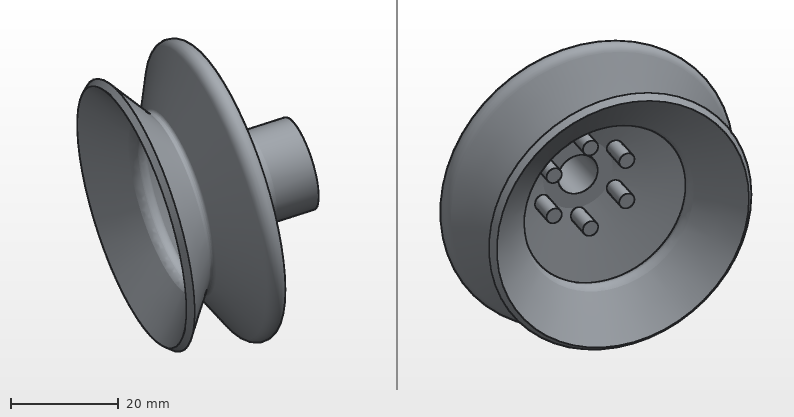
import cadquery as cq
import math

height = 34.0
wall = 1.4

lip_inner_radius = 25.5
lip_outer_radius = 26.55
lip_outer_y = 1.25

waist_radius = 17.95
waist_low_y = 8.0
waist_high_y = 9.0
waist_round = 0.6
waist_bore_radius = waist_radius - wall
waist_bore_low_y = 7.45
waist_bore_high_y = 9.8
waist_bore_round = waist_round + wall

fold_radius = 29.5
fold_y = 16.9
fold_round = 2.25
fold_inner_round = fold_round - wall
fold_center = (fold_radius - fold_round, fold_y)

neck_radius = 9.0
neck_round = 2.25
shoulder_y = 23.7
bore_radius = 4.0
seat_radius = 7.0
seat_y = 21.2

pin_count = 6
pin_radius = 1.55
pin_circle_radius = 8.5
pin_end_y = 15.2
pin_root_y = seat_y + 0.6


def tangent_point(round_radius, point, side):
    """Point where the line from `point` touches a circle around the fold centre; side is +1 or -1."""
    dr = point[0] - fold_center[0]
    dy = point[1] - fold_center[1]
    angle = math.atan2(dy, dr) + side * math.acos(round_radius / math.hypot(dr, dy))
    return (
        fold_center[0] + round_radius * math.cos(angle),
        fold_center[1] + round_radius * math.sin(angle),
    )


def round_ring(body, y, radius):
    """Fillet the circular edges that lie at height y."""
    reach = 0.03
    at_height = cq.selectors.BoxSelector((-reach, y - reach, -reach), (reach, y + reach, reach))
    return body.edges(at_height).fillet(radius)


def make_cup():
    waist_top = (waist_radius, waist_high_y)
    shoulder = (neck_radius, shoulder_y)
    seat_edge = (seat_radius, seat_y)
    waist_bore_top = (waist_bore_radius, waist_bore_high_y)

    profile = (
        cq.Workplane("XY")
        .moveTo(lip_inner_radius, 0)
        .lineTo(lip_outer_radius, lip_outer_y)
        .lineTo(waist_radius, waist_low_y)
        .lineTo(*waist_top)
        .lineTo(*tangent_point(fold_round, waist_top, 1))
        .threePointArc((fold_radius, fold_y), tangent_point(fold_round, shoulder, -1))
        .lineTo(*shoulder)
        .lineTo(neck_radius, height)
        .lineTo(bore_radius, height)
        .lineTo(bore_radius, seat_y)
        .lineTo(*seat_edge)
        .lineTo(*tangent_point(fold_inner_round, seat_edge, -1))
        .threePointArc((fold_radius - wall, fold_y), tangent_point(fold_inner_round, waist_bore_top, 1))
        .lineTo(*waist_bore_top)
        .lineTo(waist_bore_radius, waist_bore_low_y)
        .close()
    )
    cup = profile.revolve(360, (0, 0, 0), (0, 1, 0))

    for y in (waist_low_y, waist_high_y):
        cup = round_ring(cup, y, waist_round)
    for y in (waist_bore_low_y, waist_bore_high_y):
        cup = round_ring(cup, y, waist_bore_round)
    return round_ring(cup, shoulder_y, neck_round)


def make_pins():
    return (
        cq.Workplane("XZ", origin=(0, pin_end_y, 0))
        .polarArray(pin_circle_radius, 90, 360, pin_count)
        .circle(pin_radius)
        .extrude(pin_end_y - pin_root_y)
    )


result = make_cup().union(make_pins())